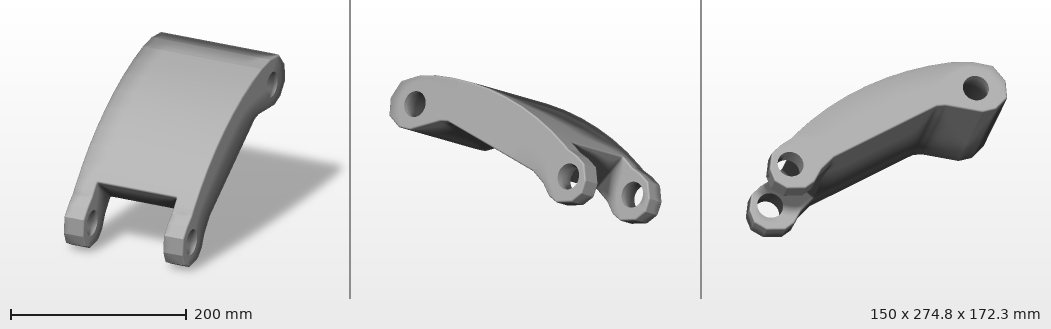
import cadquery as cq

width = 150.0
lug_width = 25.0
hole_diameter = 30.0
edge_radius = 2.0

front_pin = (24.0, 29.7)
rear_pin = (238.2, 139.5)

top_arc_rear = (210.2, 170.0)
top_arc_middle = (110.7, 132.7)
top_arc_front = (29.5, 67.3)

lug_facets = [
    (25.0, 62.0),
    (13.0, 53.0),
    (2.2, 41.8),
    (0.0, 22.0),
    (5.8, 7.7),
    (20.0, 0.0),
    (41.5, 2.0),
    (52.0, 10.7),
    (60.0, 26.5),
]

underside_front = (74.2, 42.3)
underside_rear = (193.2, 114.3)

boss_facets = [
    (204.0, 116.0),
    (246.2, 111.0),
    (261.5, 116.0),
    (274.8, 130.8),
    (273.0, 151.7),
    (258.0, 169.0),
    (234.0, 172.3),
]

gap_wall_top = (36.0, 75.8)
gap_width = width - 2 * lug_width


def make_arm():
    """Full-width arm extruded along X from its side outline."""
    outline = cq.Workplane("YZ").moveTo(*top_arc_rear)
    outline = outline.threePointArc(top_arc_middle, top_arc_front)
    for point in lug_facets + [underside_front, underside_rear] + boss_facets:
        outline = outline.lineTo(*point)
    return outline.close().extrude(width / 2, both=True)


def make_gap():
    """Wedge that opens the fork between the two front lugs."""
    wall_run = underside_front[0] - gap_wall_top[0]
    wall_rise = underside_front[1] - gap_wall_top[1]
    overshoot = 2
    lower = (underside_front[0] + overshoot * wall_run, underside_front[1] + overshoot * wall_rise)
    upper = (gap_wall_top[0] - overshoot * wall_run, gap_wall_top[1] - overshoot * wall_rise)
    corner = (upper[0], lower[1])
    outline = cq.Workplane("YZ").polyline([lower, upper, corner]).close()
    return outline.extrude(gap_width / 2, both=True)


def make_pin_holes():
    """Two bores running along X through the full width."""
    pins = cq.Workplane("YZ").pushPoints([front_pin, rear_pin])
    return pins.circle(hole_diameter / 2).extrude(width / 2, both=True)


def gap_edge_selector():
    """Selects the edges centred between, or on, the inner faces of the lugs."""
    margin = lug_width / 4
    reach = gap_width / 2 + margin
    return cq.selectors.BoxSelector(
        (-reach, -margin, -margin),
        (reach, underside_front[0] + margin, gap_wall_top[1] + margin),
    )


forked_arm = make_arm().cut(make_gap())
rounded_sides = forked_arm.faces("<X or >X").edges().fillet(edge_radius)
rounded_arm = rounded_sides.edges(gap_edge_selector()).fillet(edge_radius)
result = rounded_arm.cut(make_pin_holes())